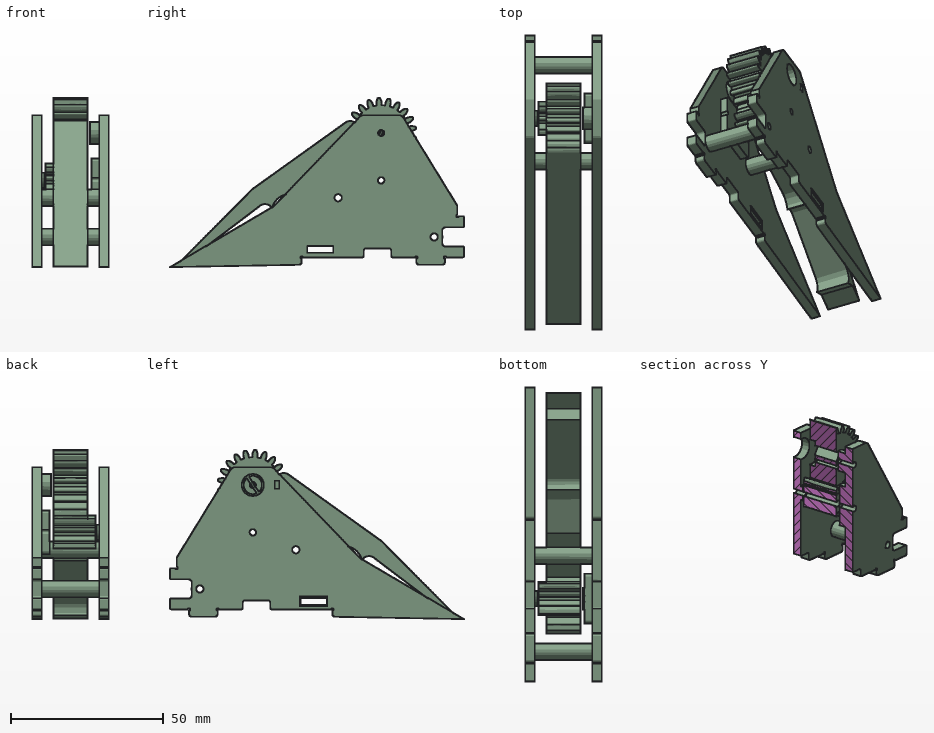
import cadquery as cq
import math


total_width = 25.0
plate_thickness = 3.2
plate_inner_x = total_width / 2 - plate_thickness
finger_width = 11.3

back_y = 27.15
tip_y = back_y - 96.3
tip_z = -43.9
top_z = 5.9
foot_z = -40.7
tab_bottom_z = -43.1
corner_radius = 2.0
bend_radius = 3.4
tab_radius = 1.0
jaw_radius = 0.6
relief_radius = 0.4

pinion_axis = (0, -15.5)
front_spacer_axis = (-14.1, -21.2)
rear_spacer_axis = (17.3, -34.0)
spacer_axes = [front_spacer_axis, rear_spacer_axis]

spacer_diameter = 5.5
spacer_bore = 2.3
pinion_bore = 2.0
pivot_diameter = 7.2
pivot_bore = 1.9
pivot_peg_length = 3.0
collar_diameter = 5.1
collar_length = 0.8

window_center = (-19.9, -38.0)
window_size = (8.5, 2.1)
window_rim_center = (-19.8, -38.0)
window_rim_size = (9.05, 3.3)
window_rim_depth = 0.4
sight_slot_center = (-7.9, 0.1)
sight_slot_size = (1.4, 2.5)

block_width = 16.4
block_height = 14.4
block_length = 2.5
block_radius = 1.25
block_groove_radius = 0.63
block_groove_rise = 0.3
block_lip_radius = 0.5

gear_module = 1.0
pressure_angle = math.radians(20)
tip_crown = 0.3
tooth_embed = 0.5
finger_teeth = 21
first_finger_tooth = -3
last_finger_tooth = 10
finger_tip_radius = 11.6
finger_root_radius = 9.1
finger_gear_turn = -4.0
pinion_teeth = 9
pinion_tip_radius = 5.6
pinion_root_radius = 3.3
pinion_turn = -0.7
pinion_overhang = 2.6

finger_bend = (-42.1, -18.3)
finger_bend_radius = 4.8
hub_recess_diameter = 9.0
hub_recess_depth = 2.1
hub_bore = 6.0
hub_web_width = 0.9
hub_web_angle = -57


def prism(outline, start_x, end_x):
    """Extrude a closed YZ outline from start_x to end_x."""
    return outline.extrude(end_x - start_x).translate((start_x, 0, 0))


def cylinder(axis, diameter, start_x, end_x):
    """Cylinder along X about the given (y, z) axis."""
    return prism(cq.Workplane("YZ").center(*axis).circle(diameter / 2), start_x, end_x)


def box(center, size, start_x, end_x):
    """Box between two X planes with the given YZ center and size."""
    return prism(cq.Workplane("YZ").center(*center).rect(*size), start_x, end_x)


def round_edges(body, corners, radius):
    """Round the X-parallel edges that stand on the given (y, z) corners."""
    for y, z in corners:
        near_edge = cq.selectors.BoxSelector(
            (-total_width, y - 0.1, z - 0.1), (total_width, y + 0.1, z + 0.1)
        )
        body = body.edges("|X").edges(near_edge).fillet(radius)
    return body


def plate_blank(start_x):
    """Side plate outline with its tabs, notches, relief cuts and through holes."""
    shoulder_y = 24.9
    ledge_z = -27.15
    slot_top_z = -30.9
    slot_bottom_z = -37.1
    slot_end_y = 20.0
    tab_back_y, tab_front_y = 20.9, 11.5
    notch_back_y, notch_front_y = 3.3, -5.7
    notch_top_z = -37.8
    heel_y = -26.0

    top_corners = [(6.7, top_z), (-6.45, top_z)]
    bend = (-35.0, -23.9)
    heel = (heel_y, tab_bottom_z)
    notch = [
        (notch_front_y, foot_z),
        (notch_front_y, notch_top_z),
        (notch_back_y, notch_top_z),
        (notch_back_y, foot_z),
    ]
    foot_tab = [(tab_front_y, tab_bottom_z), (tab_back_y, tab_bottom_z)]
    lower_jaw = [(back_y, foot_z), (back_y, slot_bottom_z)]
    slot_end = [(slot_end_y, slot_bottom_z), (slot_end_y, slot_top_z)]
    upper_jaw = [(back_y, slot_top_z), (back_y, ledge_z)]
    reliefs = [(heel_y, foot_z), (tab_front_y, foot_z), (tab_back_y, foot_z), (shoulder_y, ledge_z)]

    outline = (
        top_corners + [bend, (tip_y, tip_z), heel, reliefs[0]] + notch + [reliefs[1]] + foot_tab + [reliefs[2]]
        + lower_jaw + slot_end + upper_jaw + [reliefs[3], (shoulder_y, -23.8)]
    )
    end_x = start_x + plate_thickness
    plate = prism(cq.Workplane("YZ").polyline(outline).close(), start_x, end_x)
    plate = round_edges(plate, top_corners, corner_radius)
    plate = round_edges(plate, [bend], bend_radius)
    plate = round_edges(plate, [heel] + foot_tab + slot_end, tab_radius)
    plate = round_edges(plate, notch + lower_jaw + upper_jaw, jaw_radius)

    for corner in reliefs:
        plate = plate.cut(cylinder(corner, 2 * relief_radius, start_x, end_x))
    plate = plate.cut(cylinder(pinion_axis, pinion_bore, start_x, end_x))
    for axis in spacer_axes:
        plate = plate.cut(cylinder(axis, spacer_bore, start_x, end_x))
    plate = plate.cut(box(window_center, window_size, start_x, end_x))
    return plate.cut(box(window_rim_center, window_rim_size, start_x, start_x + window_rim_depth))


def make_left_plate():
    """Plate with the pivot opening, the sight slot and the pinion collar."""
    outer_x = -total_width / 2
    inner_x = -plate_inner_x
    collar_end_x = inner_x + collar_length
    plate = plate_blank(outer_x)
    plate = plate.cut(cylinder((0, 0), pivot_diameter, outer_x, inner_x))
    plate = plate.cut(box(sight_slot_center, sight_slot_size, outer_x, inner_x))
    plate = plate.union(cylinder(pinion_axis, collar_diameter, inner_x, collar_end_x))
    return plate.cut(cylinder(pinion_axis, pinion_bore, outer_x, collar_end_x))


def make_bearing_block(start_x, end_x):
    """Rounded block around the pinion axis with a groove along each side."""
    axis_y, axis_z = pinion_axis
    block = box(pinion_axis, (block_width, block_height), start_x, end_x)
    block = block.edges("|X").fillet(block_radius)
    for side in (-1, 1):
        side_y = axis_y + side * block_width / 2
        groove_z = axis_z + block_groove_rise
        block = block.cut(cylinder((side_y, groove_z), 2 * block_groove_radius, start_x, end_x))
        lower_lip = (side_y, groove_z - block_groove_radius)
        block = round_edges(block, [lower_lip], block_lip_radius)
    return block


def make_right_plate():
    """Plate carrying the pivot peg, the bearing block and both spacers."""
    inner_x = plate_inner_x
    outer_x = total_width / 2
    peg_x = inner_x - pivot_peg_length
    block_x = inner_x - block_length
    plate = plate_blank(inner_x)
    plate = plate.union(cylinder((0, 0), pivot_diameter, peg_x, inner_x))
    plate = plate.cut(cylinder((0, 0), pivot_bore, peg_x, outer_x))
    plate = plate.union(make_bearing_block(block_x, inner_x))
    plate = plate.cut(cylinder(pinion_axis, pinion_bore, block_x, outer_x))
    for axis in spacer_axes:
        plate = plate.union(cylinder(axis, spacer_diameter, -inner_x, inner_x))
        plate = plate.cut(cylinder(axis, spacer_bore, -inner_x, outer_x))
    return plate


def tooth_profile(teeth, tip_radius, root_radius):
    """Outline of one involute tooth about the origin, centered on +Z, with a crowned tip."""
    flank_steps = 3
    pitch_radius = gear_module * teeth / 2
    base_radius = pitch_radius * math.cos(pressure_angle)
    base_half_angle = math.pi / (2 * teeth) + math.tan(pressure_angle) - pressure_angle
    start_radius = max(base_radius, root_radius)
    end_radius = tip_radius - tip_crown
    foot_radius = root_radius - tooth_embed
    flank = []
    for step in range(flank_steps + 1):
        radius = start_radius + (end_radius - start_radius) * step / flank_steps
        roll = math.acos(base_radius / radius)
        angle = base_half_angle - math.tan(roll) + roll
        flank.append((radius * math.sin(angle), radius * math.cos(angle)))
    foot = (foot_radius * math.sin(base_half_angle), foot_radius * math.cos(base_half_angle))
    mirrored_flank = [(-y, z) for y, z in reversed(flank)]
    return (
        cq.Workplane("YZ")
        .moveTo(*foot)
        .lineTo(*flank[0])
        .spline(flank[1:], includeCurrent=True)
        .threePointArc((0, tip_radius), mirrored_flank[0])
        .spline(mirrored_flank[1:], includeCurrent=True)
        .lineTo(-foot[0], foot[1])
        .close()
    )


def make_gear(teeth, tip_radius, root_radius, turns, start_x, end_x):
    """Root disc with one tooth at each turn in degrees, counted from +Z towards +Y."""
    gear = cylinder((0, 0), 2 * root_radius, start_x, end_x)
    tooth = prism(tooth_profile(teeth, tip_radius, root_radius), start_x, end_x)
    for turn in turns:
        gear = gear.union(tooth.rotate((0, 0, 0), (1, 0, 0), -turn))
    return gear


def finger_arm(start_x, end_x):
    """Finger bar with two scallops and a barb on its underside."""
    outline = (
        cq.Workplane("YZ")
        .moveTo(0, 0)
        .lineTo(-8.7, 3.5)
        .threePointArc((-9.9, 3.9), (-11.65, 3.5))
        .lineTo(*finger_bend)
        .lineTo(-67.3, -43.7)
        .lineTo(-62.1, -41.2)
        .lineTo(-58.5, -42.6)
        .threePointArc((-58.9, -39.7), (-57.2, -37.2))
        .lineTo(-39.7, -23.9)
        .threePointArc((-38.2, -23.3), (-35.6, -24.7))
        .threePointArc((-34.2, -21.9), (-31.7, -20.3))
        .lineTo(-21.5, -17.2)
        .lineTo(-7.0, -5.8)
        .close()
    )
    return round_edges(prism(outline, start_x, end_x), [finger_bend], finger_bend_radius)


def make_finger():
    """Finger with its gear sector, from the bar round to the pinion, and its webbed hub."""
    start_x = -finger_width / 2
    end_x = finger_width / 2
    tooth_pitch = 360 / finger_teeth
    turns = [finger_gear_turn + i * tooth_pitch for i in range(first_finger_tooth, last_finger_tooth + 1)]
    finger = make_gear(finger_teeth, finger_tip_radius, finger_root_radius, turns, start_x, end_x)
    finger = finger.union(finger_arm(start_x, end_x))

    web = box((0, 0), (hub_bore, hub_web_width), start_x, end_x)
    web = web.rotate((0, 0, 0), (1, 0, 0), -hub_web_angle)
    finger = finger.cut(cylinder((0, 0), hub_bore, start_x, end_x).cut(web))
    return finger.cut(cylinder((0, 0), hub_recess_diameter, start_x, start_x + hub_recess_depth))


def make_pinion():
    """Pinion that meshes with the finger and stands out on its left."""
    start_x = -finger_width / 2 - pinion_overhang
    end_x = finger_width / 2
    turns = [pinion_turn + i * 360 / pinion_teeth for i in range(pinion_teeth)]
    pinion = make_gear(pinion_teeth, pinion_tip_radius, pinion_root_radius, turns, start_x, end_x)
    pinion = pinion.cut(cylinder((0, 0), pinion_bore, start_x, end_x))
    return pinion.translate((0, *pinion_axis))


left_plate = make_left_plate()
right_plate = make_right_plate()
finger = make_finger()
pinion = make_pinion()

result = cq.Compound.makeCompound(
    [body.solids().val() for body in (left_plate, right_plate, finger, pinion)]
)